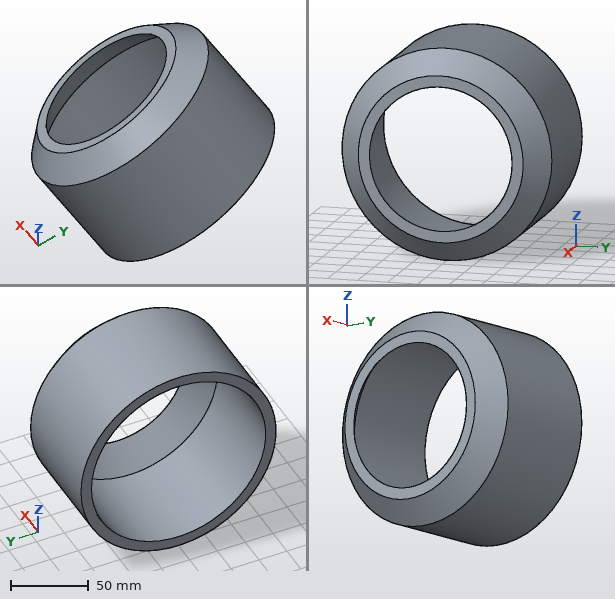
import cadquery as cq

length = 88.0
outer_diameter = 140.0
bore_diameter = 125.0
tip_diameter = 110.0
bore_length = 70.0

outer_radius = outer_diameter / 2
bore_radius = bore_diameter / 2
tip_radius = tip_diameter / 2
wall = outer_radius - bore_radius

taper_length = outer_radius - tip_radius
straight_length = length - taper_length
tip_bore_radius = tip_radius - wall

half_section = (
    cq.Workplane("XY")
    .moveTo(0, bore_radius)
    .lineTo(0, outer_radius)
    .lineTo(straight_length, outer_radius)
    .lineTo(length, tip_radius)
    .lineTo(length, tip_bore_radius)
    .lineTo(bore_length, bore_radius)
    .close()
)

result = half_section.revolve(360, (0, 0, 0), (1, 0, 0))